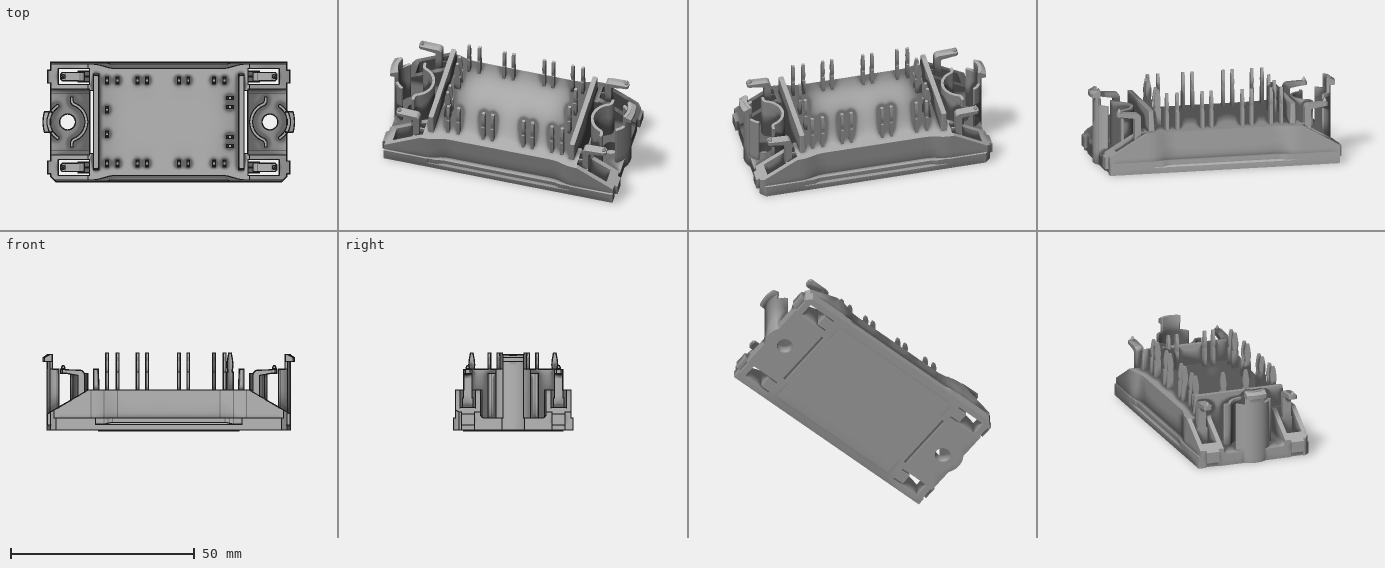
import math

import cadquery as cq

BASE_HALF_LENGTH = 32.1
BASE_HALF_WIDTH = 16.25
BASE_BOTTOM = 0.23
BASE_TOP = 3.55
CORNER_CHAMFER = 1.45
PLATE_LENGTH = 38.2
PLATE_WIDTH = 27.1

DECK_HEIGHT = 11.17
DECK_HALF_LENGTH = 21.6
HOUSING_HALF_WIDTH = 15.75
WAIST_HALF_WIDTH = 14.5
WAIST_START_X = 21.2
WAIST_END_X = 13.95
RAMP_TOP_X = 21.9
RAMP_END_HEIGHT = 5.2

RIB_X = 19.7
RIB_BASE_THICKNESS = 1.6
RIB_TOP_THICKNESS = 1.35
RIB_BASE_HALF_WIDTH = 13.1
RIB_TOP_HALF_WIDTH = 12.65
RIB_TOP = 16.8
RIB_CORNER_RADIUS = 0.3

BAY_HALF_WIDTH = 8.95
BAY_FILLET = 1.2
HOLE_X = 27.5
HOLE_DIAMETER = 4.25
SLOT_INNER_X = RIB_X + RIB_BASE_THICKNESS / 2
SLOT_OUTER_X = 21.45
SLOT_HALF_WIDTH = 8.55

WINDOW_OUTER_X = 30.0
WINDOW_INNER_X = 21.6
WINDOW_INNER_Y = 10.2
WINDOW_OUTER_Y = 14.5
TAB_INNER_Y = 10.55
TAB_OUTER_Y = 14.1
TAB_OUT = 0.85
TAB_BOTTOM = 1.7
RAMP_SLOPE = (DECK_HEIGHT - RAMP_END_HEIGHT) / (BASE_HALF_LENGTH - RAMP_TOP_X)
TAB_TOP = RAMP_END_HEIGHT - TAB_OUT * RAMP_SLOPE
TAB_NOTCH_DEPTH = 0.4

RECESS_HALF_LENGTH = 19.9
RECESS_BOTTOM = 1.8
RECESS_Y = 15.75
RECESS_END_Y = 16.1
RECESS_CURVE_START_X = 17.65
RECESS_CURVE_END_X = 15.3

GUIDE_INNER_RADIUS = 4.7
GUIDE_OUTER_RADIUS = 5.5
GUIDE_ARC_END = 68
FLARE_RADIUS = 1.25
FLARE_END_Y = 6.85
WALL_END_RADIUS = 0.3
GUIDE_TOP = 15.7
WING_TOP = 16.8
WING_START = 118
LATCH_RADIUS = 5.6
LATCH_HALF_WIDTH = 2.85
LATCH_FOOT_HALF_WIDTH = 3.1
LATCH_TOP = 20.85
LIP_REACH_X = 34.2
LIP_AXIS_X = 24.0
LIP_BOTTOM = 18.9
LIP_EDGE_TOP = 20.0
LIP_CORNER_CHAMFER = 0.4
LIP_CREST_X = 32.6

HOOK_Y = 12.35
HOOK_WIDTH = 2.3
HOOK_FOOT_WIDTH = 2.9
HOOK_FOOT_TOP = 9.0
LEG_OUTER_X = 24.6
LEG_INNER_X = 22.95
HOOK_TIP_X = 29.4
ARM_TOP = 16.55
ARM_BOTTOM = 15.2
TIP_TOP = 16.7
TIP_BOTTOM = 15.7
TIP_LENGTH = 1.3
TIP_CHAMFER = 0.5
BEND_RADIUS = 1.2
INNER_BEND_RADIUS = 0.45
BOSS_X = 28.7
BOSS_DIAMETER = 1.1
BOSS_TOP = 17.05
BOSS_POINT = 17.85
BOSS_POINT_DIAMETER = 0.3
GUSSET_THICKNESS = 0.3

PIN_TOP = 21.23
PIN_THICKNESS = 0.8
PIN_HALF_WIDTH = 0.9
SHOULDER_Z = 16.0
NECK_Z = 16.6
NECK_HALF_WIDTH = 0.65
BULGE_Z = 18.0
BULGE_HALF_WIDTH = 0.82
BULGE_TOP_Z = 19.3
BULGE_TOP_HALF_WIDTH = 0.7
TAPER_Z = 19.85
TAPER_HALF_WIDTH = 0.62
TIP_HALF_WIDTH = 0.35
PIN_ROW_Y = 11.28
PIN_ROW_XS = (-16.75, -13.9, -8.45, -5.9, 2.75, 5.3, 12.3, 15.2)
LEFT_PIN_X = -16.75
LEFT_PIN_YS = (-3.3, 3.3)
RIGHT_PIN_X = 16.65
RIGHT_PIN_YS = (-6.5, -4.05, 4.05, 6.5)


def block(x0, x1, y0, y1, z0, z1):
    """Box given by its limits along each axis."""
    return cq.Workplane("XY").box(x1 - x0, y1 - y0, z1 - z0, centered=False).translate((x0, y0, z0))


def on_both_ends(shape):
    """Shape together with its mirror image at the other end of the part."""
    return shape.union(shape.mirror("YZ"))


def on_both_sides(shape):
    """Shape together with its mirror image across the long centre plane."""
    return shape.union(shape.mirror("XZ"))


def on_four_corners(shape):
    return on_both_ends(on_both_sides(shape))


def arc_wall(center, inner, outer, start, end, z0, z1):
    """Upright wall on a circular arc between two angles in degrees."""

    def point(radius, angle):
        angle = math.radians(angle)
        return (center[0] + radius * math.cos(angle), center[1] + radius * math.sin(angle))

    middle = (start + end) / 2
    return (
        cq.Workplane("XY", origin=(0, 0, z0))
        .moveTo(*point(inner, start))
        .threePointArc(point(inner, middle), point(inner, end))
        .lineTo(*point(outer, end))
        .threePointArc(point(outer, middle), point(outer, start))
        .close()
        .extrude(z1 - z0)
    )


def base_frame():
    frame = block(
        -BASE_HALF_LENGTH, BASE_HALF_LENGTH, -BASE_HALF_WIDTH, BASE_HALF_WIDTH, BASE_BOTTOM, BASE_TOP
    )
    plate = cq.Workplane("XY").rect(PLATE_LENGTH, PLATE_WIDTH).extrude(BASE_BOTTOM)
    return frame.union(plate)


def side_recess():
    """Shallow recess in one long side whose floor slopes down towards the outside."""
    mid_x = (RECESS_CURVE_START_X + RECESS_CURVE_END_X) / 2
    mid_y = (RECESS_END_Y + RECESS_Y) / 2
    depth = BASE_HALF_WIDTH - RECESS_Y
    half = (
        cq.Workplane("XY", origin=(0, 0, RECESS_BOTTOM))
        .moveTo(-RECESS_HALF_LENGTH, BASE_HALF_WIDTH)
        .lineTo(-RECESS_HALF_LENGTH, RECESS_END_Y)
        .lineTo(-RECESS_CURVE_START_X, RECESS_END_Y)
        .tangentArcPoint((-mid_x, mid_y), relative=False)
        .tangentArcPoint((-RECESS_CURVE_END_X, RECESS_Y), relative=False)
        .lineTo(0, RECESS_Y)
        .lineTo(0, BASE_HALF_WIDTH)
        .close()
        .extrude(BASE_TOP - RECESS_BOTTOM)
    )
    sloped_floor = (
        cq.Workplane("YZ", origin=(-RECESS_HALF_LENGTH, 0, 0))
        .moveTo(BASE_HALF_WIDTH, RECESS_BOTTOM)
        .lineTo(RECESS_Y, RECESS_BOTTOM + depth)
        .lineTo(RECESS_Y, RECESS_BOTTOM)
        .close()
        .extrude(RECESS_HALF_LENGTH)
    )
    return on_both_ends(half.cut(sloped_floor))


def housing():
    """Raised centre whose long sides draw in to a waist through S-shaped curves."""
    mid_x = (WAIST_START_X + WAIST_END_X) / 2
    mid_y = (HOUSING_HALF_WIDTH + WAIST_HALF_WIDTH) / 2
    half = (
        cq.Workplane("XY", origin=(0, 0, BASE_BOTTOM))
        .moveTo(-SLOT_INNER_X, 0)
        .lineTo(-SLOT_INNER_X, SLOT_HALF_WIDTH)
        .lineTo(-DECK_HALF_LENGTH, SLOT_HALF_WIDTH)
        .lineTo(-DECK_HALF_LENGTH, HOUSING_HALF_WIDTH)
        .lineTo(-WAIST_START_X, HOUSING_HALF_WIDTH)
        .tangentArcPoint((-mid_x, mid_y), relative=False)
        .tangentArcPoint((-WAIST_END_X, WAIST_HALF_WIDTH), relative=False)
        .lineTo(0, WAIST_HALF_WIDTH)
        .lineTo(0, 0)
        .close()
        .extrude(DECK_HEIGHT - BASE_BOTTOM)
    )
    return on_four_corners(half)


def corner_block():
    """Ramped block beside a bolting bay, with its end tab and the fillet down to the bay floor."""
    ramp = (
        cq.Workplane("XZ", origin=(0, BAY_HALF_WIDTH, 0))
        .moveTo(-WAIST_START_X, BASE_BOTTOM)
        .lineTo(-WAIST_START_X, DECK_HEIGHT)
        .lineTo(-RAMP_TOP_X, DECK_HEIGHT)
        .lineTo(-BASE_HALF_LENGTH, RAMP_END_HEIGHT)
        .lineTo(-BASE_HALF_LENGTH, BASE_BOTTOM)
        .close()
        .extrude(BAY_HALF_WIDTH - HOUSING_HALF_WIDTH)
    )
    tab_end = -BASE_HALF_LENGTH - TAB_OUT
    tab = (
        cq.Workplane("XZ", origin=(0, TAB_OUTER_Y, 0))
        .moveTo(-BASE_HALF_LENGTH, TAB_BOTTOM)
        .lineTo(-BASE_HALF_LENGTH, RAMP_END_HEIGHT)
        .lineTo(tab_end, TAB_TOP)
        .lineTo(tab_end, TAB_BOTTOM)
        .close()
        .extrude(TAB_OUTER_Y - TAB_INNER_Y)
    )
    fillet = block(
        -BASE_HALF_LENGTH,
        -SLOT_OUTER_X,
        BAY_HALF_WIDTH - BAY_FILLET,
        BAY_HALF_WIDTH,
        BASE_TOP,
        BASE_TOP + BAY_FILLET,
    ).cut(
        cq.Workplane("YZ")
        .center(BAY_HALF_WIDTH - BAY_FILLET, BASE_TOP + BAY_FILLET)
        .circle(BAY_FILLET)
        .extrude(-BASE_HALF_LENGTH)
    )
    return ramp.union(tab).union(fillet)


def tab_notch():
    """Shallow notch in the end face below a tab."""
    return block(
        -BASE_HALF_LENGTH,
        -BASE_HALF_LENGTH + TAB_NOTCH_DEPTH,
        TAB_INNER_Y,
        TAB_OUTER_Y,
        BASE_BOTTOM,
        TAB_BOTTOM,
    )


def corner_window():
    return block(
        -WINDOW_OUTER_X, -WINDOW_INNER_X, WINDOW_INNER_Y, WINDOW_OUTER_Y, BASE_BOTTOM, DECK_HEIGHT
    )


def bay_openings():
    """Bolt hole and the narrow slot between the bay floor and the housing."""
    hole = (
        cq.Workplane("XY", origin=(-HOLE_X, 0, BASE_BOTTOM))
        .circle(HOLE_DIAMETER / 2)
        .extrude(BASE_TOP - BASE_BOTTOM)
    )
    slot = block(
        -SLOT_OUTER_X, -SLOT_INNER_X, -SLOT_HALF_WIDTH, SLOT_HALF_WIDTH, BASE_BOTTOM, DECK_HEIGHT
    )
    return hole.union(slot)


def corner_chamfer():
    """Triangular prism that bevels one vertical corner of the part."""
    return (
        cq.Workplane("XY")
        .moveTo(-BASE_HALF_LENGTH, -BASE_HALF_WIDTH)
        .lineTo(-BASE_HALF_LENGTH + CORNER_CHAMFER, -BASE_HALF_WIDTH)
        .lineTo(-BASE_HALF_LENGTH, -BASE_HALF_WIDTH + CORNER_CHAMFER)
        .close()
        .extrude(DECK_HEIGHT)
    )


def deck_rib():
    """Upright rib across the deck, with its outer face flush with the end of the housing."""
    return (
        cq.Workplane("XY", origin=(-RIB_X, 0, DECK_HEIGHT))
        .rect(RIB_BASE_THICKNESS, 2 * RIB_BASE_HALF_WIDTH)
        .workplane(offset=RIB_TOP - DECK_HEIGHT)
        .center((RIB_TOP_THICKNESS - RIB_BASE_THICKNESS) / 2, 0)
        .rect(RIB_TOP_THICKNESS, 2 * RIB_TOP_HALF_WIDTH)
        .loft()
        .edges("not (|X or |Y)")
        .fillet(RIB_CORNER_RADIUS)
    )


def screw_guide():
    """Curved walls around a bolt hole: an inner wall with flared ends and two outer wings."""
    center = (-HOLE_X, 0)
    inner, outer = GUIDE_INNER_RADIUS, GUIDE_OUTER_RADIUS
    middle = (inner + outer) / 2
    half_thickness = (outer - inner) / 2
    flare_reach = middle + FLARE_RADIUS
    flare_angle = math.radians(GUIDE_ARC_END)
    flare_center = (
        -HOLE_X + flare_reach * math.cos(flare_angle),
        flare_reach * math.sin(flare_angle),
    )
    flare = arc_wall(
        flare_center,
        FLARE_RADIUS - half_thickness,
        FLARE_RADIUS + half_thickness,
        180,
        180 + GUIDE_ARC_END,
        BASE_TOP,
        GUIDE_TOP,
    )
    flare_end = block(
        flare_center[0] - FLARE_RADIUS - half_thickness,
        flare_center[0] - FLARE_RADIUS + half_thickness,
        flare_center[1],
        FLARE_END_Y,
        BASE_TOP,
        GUIDE_TOP,
    ).edges("|Z and >Y").fillet(WALL_END_RADIUS)
    wall = arc_wall(center, inner, outer, -GUIDE_ARC_END, GUIDE_ARC_END, BASE_TOP, GUIDE_TOP)
    wings = arc_wall(center, inner, outer, WING_START, 360 - WING_START, BASE_TOP, WING_TOP)
    wings = wings.edges("|Z").fillet(WALL_END_RADIUS)
    return wall.union(on_both_sides(flare.union(flare_end))).union(wings)


def latch():
    """Tall part of the screw guide on the end face, with a hooked lip."""

    def post(half_width, top):
        spread = math.degrees(math.asin(half_width / LATCH_RADIUS))
        return arc_wall(
            (-HOLE_X, 0), GUIDE_INNER_RADIUS, LATCH_RADIUS, 180 - spread, 180 + spread, BASE_BOTTOM, top
        )

    lip_root = HOLE_X + GUIDE_INNER_RADIUS - LIP_AXIS_X
    lip = (
        cq.Workplane("XZ", origin=(-LIP_AXIS_X, 0, 0))
        .moveTo(lip_root, LIP_BOTTOM)
        .lineTo(LIP_REACH_X - LIP_AXIS_X, LIP_BOTTOM)
        .lineTo(LIP_REACH_X - LIP_AXIS_X, LIP_EDGE_TOP)
        .lineTo(LIP_CREST_X - LIP_AXIS_X, LATCH_TOP)
        .lineTo(lip_root, LATCH_TOP)
        .close()
        .revolve(360, (0, 0), (0, 1))
    )
    reach = block(-LIP_REACH_X, -HOLE_X, -LATCH_HALF_WIDTH, LATCH_HALF_WIDTH, LIP_BOTTOM, LATCH_TOP)
    reach = reach.edges("|Z and <X").chamfer(LIP_CORNER_CHAMFER)
    bore = (
        cq.Workplane("XY", origin=(-HOLE_X, 0, BASE_TOP))
        .circle(GUIDE_INNER_RADIUS)
        .extrude(LATCH_TOP - BASE_TOP)
    )
    posts = post(LATCH_HALF_WIDTH, LATCH_TOP).union(post(LATCH_FOOT_HALF_WIDTH, BASE_TOP))
    return posts.union(lip.intersect(reach).cut(bore))


def hook():
    """Angled spring hook standing in a corner window, with a pointed boss on its tip."""
    start_y = HOOK_Y + HOOK_WIDTH / 2
    arm = (
        cq.Workplane("XZ", origin=(0, start_y, 0))
        .moveTo(-LEG_INNER_X, BASE_BOTTOM)
        .lineTo(-LEG_INNER_X, ARM_TOP - BEND_RADIUS)
        .radiusArc((-LEG_INNER_X - BEND_RADIUS, ARM_TOP), -BEND_RADIUS)
        .lineTo(-HOOK_TIP_X + TIP_LENGTH, TIP_TOP)
        .lineTo(-HOOK_TIP_X, TIP_TOP)
        .lineTo(-HOOK_TIP_X, TIP_BOTTOM)
        .lineTo(-HOOK_TIP_X + TIP_LENGTH, TIP_BOTTOM)
        .lineTo(-LEG_OUTER_X - INNER_BEND_RADIUS, ARM_BOTTOM)
        .radiusArc((-LEG_OUTER_X, ARM_BOTTOM - INNER_BEND_RADIUS), INNER_BEND_RADIUS)
        .lineTo(-LEG_OUTER_X, BASE_BOTTOM)
        .close()
        .extrude(HOOK_WIDTH)
        .edges("|Z and <X")
        .chamfer(TIP_CHAMFER)
    )
    foot = block(
        -LEG_OUTER_X,
        -LEG_INNER_X,
        HOOK_Y - HOOK_FOOT_WIDTH / 2,
        HOOK_Y + HOOK_FOOT_WIDTH / 2,
        BASE_BOTTOM,
        HOOK_FOOT_TOP,
    )
    footing = block(
        -LEG_INNER_X,
        -WINDOW_INNER_X,
        HOOK_Y - HOOK_FOOT_WIDTH / 2,
        HOOK_Y + HOOK_FOOT_WIDTH / 2,
        BASE_BOTTOM,
        BASE_TOP,
    )
    gusset = block(
        -LEG_INNER_X,
        -WINDOW_INNER_X,
        HOOK_Y - GUSSET_THICKNESS / 2,
        HOOK_Y + GUSSET_THICKNESS / 2,
        BASE_BOTTOM,
        DECK_HEIGHT,
    )
    boss = cq.Workplane("XY", origin=(-BOSS_X, HOOK_Y, TIP_BOTTOM)).circle(BOSS_DIAMETER / 2).extrude(
        BOSS_TOP - TIP_BOTTOM
    )
    point = (
        cq.Workplane("XY", origin=(-BOSS_X, HOOK_Y, BOSS_TOP))
        .circle(BOSS_DIAMETER / 2)
        .workplane(offset=BOSS_POINT - BOSS_TOP)
        .circle(BOSS_POINT_DIAMETER / 2)
        .loft()
    )
    return arm.union(foot).union(footing).union(gusset).union(boss).union(point)


def pin():
    """Flat press-fit pin with its blade in the YZ plane, standing on the deck."""
    half_blade = (
        cq.Workplane("YZ")
        .moveTo(0, DECK_HEIGHT)
        .lineTo(PIN_HALF_WIDTH, DECK_HEIGHT)
        .lineTo(PIN_HALF_WIDTH, SHOULDER_Z)
        .lineTo(NECK_HALF_WIDTH, SHOULDER_Z)
        .lineTo(NECK_HALF_WIDTH, NECK_Z)
        .threePointArc((BULGE_HALF_WIDTH, BULGE_Z), (BULGE_TOP_HALF_WIDTH, BULGE_TOP_Z))
        .lineTo(TAPER_HALF_WIDTH, TAPER_Z)
        .lineTo(TIP_HALF_WIDTH, PIN_TOP)
        .lineTo(0, PIN_TOP)
        .close()
        .extrude(PIN_THICKNESS / 2, both=True)
    )
    return on_both_sides(half_blade)


def contact_pins():
    blade = pin()
    places = [(x, y) for x in PIN_ROW_XS for y in (-PIN_ROW_Y, PIN_ROW_Y)]
    places += [(LEFT_PIN_X, y) for y in LEFT_PIN_YS]
    pins = [blade.translate((x, y, 0)) for x, y in places]
    turned = blade.rotate((0, 0, 0), (0, 0, 1), 90)
    pins += [turned.translate((RIGHT_PIN_X, y, 0)) for y in RIGHT_PIN_YS]
    return pins


result = base_frame().union(housing()).union(on_four_corners(corner_block()))
result = result.cut(on_both_ends(bay_openings())).cut(on_four_corners(corner_window()))
result = result.cut(on_four_corners(tab_notch())).cut(on_both_sides(side_recess()))
result = result.cut(on_both_ends(corner_chamfer()))
result = result.union(on_both_ends(deck_rib()))
result = result.union(on_both_ends(screw_guide())).union(on_both_ends(latch()))
result = result.union(on_four_corners(hook()))
for contact in contact_pins():
    result = result.union(contact)
result = result.clean()